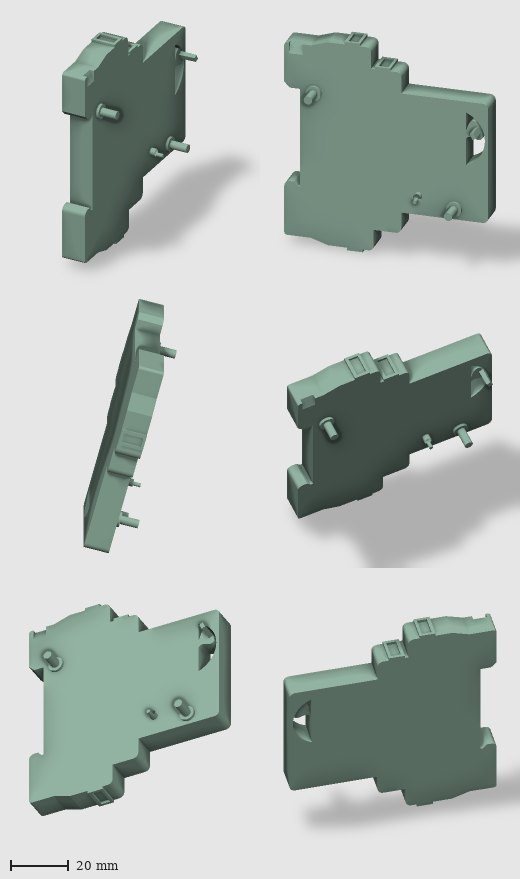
import cadquery as cq
import math

thickness = 9.0
depth = 74.0
height = 79.0

front_z = (16.9, 62.1)
front_y = 42.5
middle_z = (9.0, 70.0)
lower_shoulder_y = 32.5
upper_shoulder_y = 31.5
tab_height = 1.0
rear_z = (tab_height, height - tab_height)
foot_z = (3.0, 76.0)
slope_y = (9.7, 15.9)
corner_radius = 2.0
foot_radius = 1.0

recess_y = 5.7
recess_z = (22.0, 59.0)
upper_foot_chamfer = 2.0
hook_z = 23.5
hook_ramp_y = (3.5, 4.9)

tab_length = 5.7
tab_y = {"middle": 32.8, "upper": 21.8, "lower": 22.8}
window_size = (7.0, 3.5)
window_depth = 1.0
window_offset = 1.2

opening_chord_y = 66.0
opening_z = 48.0
opening_half_chord = 10.0
opening_front_y = 72.85

lever_x = 2.4
lever_root_y = opening_chord_y - 1.0
lever_root_z = (48.1, 51.2)
lever_underside = [(67.7, 48.95), (70.4, 48.15), (72.1, 49.15)]
lever_front_middle = (70.95, 52.8)
lever_front_top = (69.3, 54.95)
lever_crest = [(68.5, 55.1), (67.1, 54.0), (66.35, 52.0)]
finger_length = 6.1
finger_corner = (70.6, 53.4)
finger_size = (1.75, 2.2)
finger_taper = 0.25
finger_angle = 27.0

flange_diameter = 5.5
flange_length = 1.0
pin_diameter = 3.0
lower_pin = (61.8, 20.95, 7.5)
upper_pin = (10.75, 58.2, 7.0)
stud_base = (48.75, 24.25)
stud_base_diameter = 2.7
stud_base_length = 2.0
stud_tip_diameter = 1.4
stud_length = 4.7

notch_y = (1.7, 6.6)
notch_width = 1.7
notch_drop = 4.0


def yz_plane(x):
    """Sketch plane with local axes Y and Z, extruding toward +X."""
    return cq.Workplane("YZ", origin=(x, 0, 0))


def block(x, y, z):
    """Box given by its (low, high) range along each axis."""
    size = [high - low for low, high in (x, y, z)]
    return cq.Workplane("XY").box(*size, centered=False).translate((x[0], y[0], z[0]))


def fillet_edges(body, points, radius):
    """Round the X-parallel edges through the given (Y, Z) points."""
    for y, z in points:
        edge = cq.selectors.NearestToPointSelector((thickness / 2, y, z))
        body = body.edges("|X").edges(edge).fillet(radius)
    return body


def make_housing():
    body = (
        yz_plane(0)
        .moveTo(0, foot_z[0])
        .lineTo(slope_y[0], foot_z[0])
        .lineTo(slope_y[1], rear_z[0])
        .lineTo(lower_shoulder_y, rear_z[0])
        .lineTo(lower_shoulder_y, middle_z[0])
        .lineTo(front_y, middle_z[0])
        .lineTo(front_y, front_z[0])
        .lineTo(depth, front_z[0])
        .lineTo(depth, front_z[1])
        .lineTo(front_y, front_z[1])
        .lineTo(front_y, middle_z[1])
        .lineTo(upper_shoulder_y, middle_z[1])
        .lineTo(upper_shoulder_y, rear_z[1])
        .lineTo(slope_y[1], rear_z[1])
        .lineTo(slope_y[0], foot_z[1])
        .lineTo(0, foot_z[1])
        .lineTo(0, recess_z[1] + upper_foot_chamfer)
        .lineTo(upper_foot_chamfer, recess_z[1])
        .lineTo(recess_y, recess_z[1])
        .lineTo(recess_y, recess_z[0])
        .lineTo(hook_ramp_y[1], recess_z[0])
        .lineTo(hook_ramp_y[0], hook_z)
        .lineTo(0, hook_z)
        .close()
        .extrude(thickness)
    )
    step_corners = [(depth, z) for z in front_z]
    step_corners += [(front_y, z) for z in middle_z]
    step_corners += [(lower_shoulder_y, rear_z[0]), (upper_shoulder_y, rear_z[1]), (0, hook_z)]
    body = fillet_edges(body, step_corners, corner_radius)
    return fillet_edges(body, [(0, z) for z in foot_z], foot_radius)


def add_tab(body, y, face_z, outward):
    """Label tab on a face at face_z; outward is +1 for up and -1 for down."""
    tip_z = face_z + outward * tab_height
    floor_z = tip_z - outward * window_depth
    window_x = (thickness - window_size[0]) / 2
    window_y = y + window_offset
    tab = block((0, thickness), (y, y + tab_length), sorted((face_z, tip_z)))
    window = block(
        (window_x, window_x + window_size[0]),
        (window_y, window_y + window_size[1]),
        sorted((floor_z, tip_z)),
    )
    return body.union(tab).cut(window)


def make_opening():
    return (
        yz_plane(0)
        .moveTo(opening_chord_y, opening_z - opening_half_chord)
        .threePointArc(
            (opening_front_y, opening_z),
            (opening_chord_y, opening_z + opening_half_chord),
        )
        .close()
        .extrude(thickness)
    )


def make_lever():
    """Curved lever plate, rooted in the straight wall of the opening."""
    return (
        yz_plane(lever_x)
        .moveTo(lever_root_y, lever_root_z[0])
        .lineTo(opening_chord_y, lever_root_z[0])
        .spline(lever_underside, includeCurrent=True)
        .threePointArc(lever_front_middle, lever_front_top)
        .spline(lever_crest + [(opening_chord_y, lever_root_z[1])], includeCurrent=True)
        .lineTo(lever_root_y, lever_root_z[1])
        .close()
        .extrude(thickness - lever_x)
    )


def finger_outline(width):
    """Corners of the tilted finger section with the given first side."""
    tilt = math.radians(finger_angle)
    top_y, top_z = finger_corner
    along = (-width * math.cos(tilt), -width * math.sin(tilt))
    across = (finger_size[1] * math.sin(tilt), -finger_size[1] * math.cos(tilt))
    return [
        (top_y, top_z),
        (top_y + along[0], top_z + along[1]),
        (top_y + along[0] + across[0], top_z + along[1] + across[1]),
        (top_y + across[0], top_z + across[1]),
    ]


def make_finger():
    return (
        yz_plane(thickness)
        .polyline(finger_outline(finger_size[0]))
        .close()
        .workplane(offset=finger_length)
        .polyline(finger_outline(finger_size[0] - finger_taper))
        .close()
        .loft(ruled=True)
    )


def make_rod(y, z, diameter, length):
    """Round rod standing on the +X face."""
    return yz_plane(thickness).center(y, z).circle(diameter / 2).extrude(length)


def add_pins(body):
    for y, z, length in (lower_pin, upper_pin):
        body = body.union(make_rod(y, z, flange_diameter, flange_length))
        body = body.union(make_rod(y, z, pin_diameter, length))
    return body


def add_stud(body):
    """Stepped stud whose thin tip is flush with the bottom of its base."""
    y, z = stud_base
    tip_z = z - (stud_base_diameter - stud_tip_diameter) / 2
    body = body.union(make_rod(y, z, stud_base_diameter, stud_base_length))
    return body.union(make_rod(y, tip_z, stud_tip_diameter, stud_length))


def make_notch():
    """Triangular wedge to cut from the +X edge of the upper foot."""
    return (
        cq.Workplane("XZ", origin=(0, notch_y[1], 0))
        .moveTo(thickness - notch_width, foot_z[1])
        .lineTo(thickness, foot_z[1])
        .lineTo(thickness, foot_z[1] - notch_drop)
        .close()
        .extrude(notch_y[1] - notch_y[0])
    )


result = make_housing()
result = add_tab(result, tab_y["middle"], middle_z[1], 1)
result = add_tab(result, tab_y["upper"], rear_z[1], 1)
result = add_tab(result, tab_y["lower"], rear_z[0], -1)
result = result.cut(make_opening()).cut(make_notch())
result = result.union(make_lever()).union(make_finger())
result = add_pins(result)
result = add_stud(result)